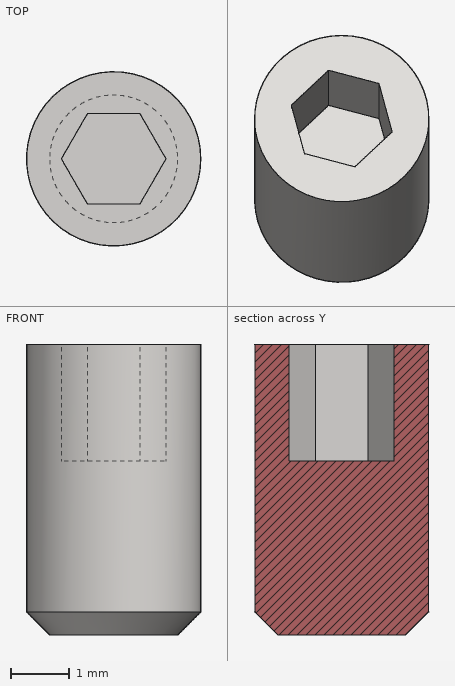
import cadquery as cq

diameter = 3.0
length = 5.0
tip_chamfer = 0.4

socket_across_corners = 1.8
socket_depth = 2.0

body = (
    cq.Workplane("XY")
    .circle(diameter / 2)
    .extrude(length)
    .faces("<Z")
    .chamfer(tip_chamfer)
)

socket = (
    cq.Workplane("XY")
    .workplane(offset=length - socket_depth)
    .polygon(6, socket_across_corners)
    .extrude(socket_depth)
)

result = body.cut(socket)